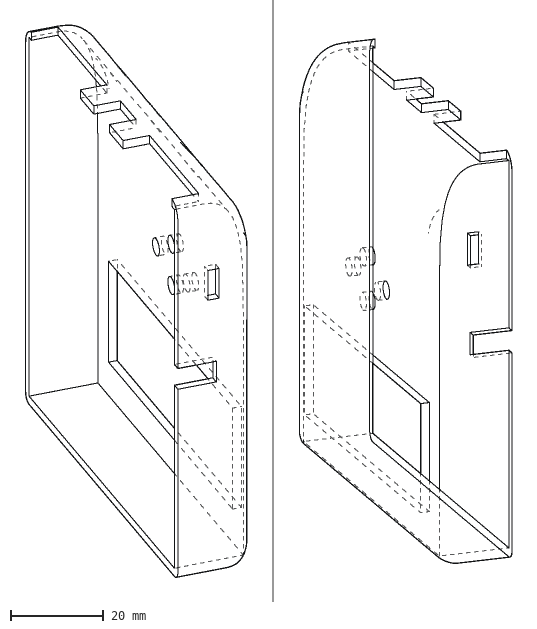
import cadquery as cq

width = 88.0
depth = 18.0
height = 92.0
wall = 2.0

overrun = 0.9

dome_drop = 30.5
dome_length = 11.2

top_side_radius = 4.1
back_edge_radius = 6.1
bottom_corner_radius = 2.0

window_width = 71.7
window_height = 24.75
window_bottom = 10.2

hole_diameter = 4.0
hole_centre_x = 44.4
hole_centre_z = 52.3
hole_offset_x = 8.8
hole_offset_z = 5.1

notch_inset = 3.4
notch_depth = 6.2
tab_width = 7.8
tab_gap = 9.1

side_slot_bottom = 46.9
side_slot_height = 5.1
side_slot_depth = 8.9
side_hole_front = 7.0
side_hole_length = 2.6
side_hole_bottom = 67.3
side_hole_height = 7.3


def block(x_range, y_range, z_range):
    """Axis-aligned box given by its limits along each axis."""
    size = [end - start for start, end in (x_range, y_range, z_range)]
    corner = (x_range[0], y_range[0], z_range[0])
    return cq.Workplane("XY").box(*size, centered=False).translate(corner)


def domed_block(inset, x_start, x_end):
    """Side profile moved inward by inset on the back, top and bottom, extruded along X."""
    back = depth - inset
    top = height - inset
    dome_z = height - dome_drop
    dome_front = depth - dome_length
    control_points = [
        (back, dome_z),
        (back, (dome_z + top) / 2),
        (back, top),
        (dome_front, top),
    ]
    return (
        cq.Workplane("YZ", origin=(x_start, 0, 0))
        .moveTo(0, inset)
        .lineTo(back, inset)
        .lineTo(back, dome_z)
        .bezier(control_points)
        .lineTo(0, top)
        .close()
        .extrude(x_end - x_start)
    )


def outer_body():
    """Domed block rounded along its top sides, cut to a box rounded along its back."""
    domed = domed_block(0, 0, width)
    domed = domed.faces("<X or >X").edges("not(<Y or <Z)").fillet(top_side_radius)
    rounded = block((0, width), (0, depth), (0, 2 * height))
    rounded = rounded.faces(">Y").edges("not >Z").fillet(back_edge_radius)
    for x in (0, width):
        near_corner = cq.selectors.BoxSelector(
            (x - back_edge_radius, -overrun, -overrun),
            (x + back_edge_radius, depth, back_edge_radius),
        )
        corner_edges = rounded.edges(near_corner).edges("not(<Y or |X or |Z)")
        rounded = corner_edges.fillet(bottom_corner_radius)
    return domed.intersect(rounded)


def top_notch():
    """Material removed from the top wall, through its full thickness but leaving the tabs."""
    x_range = (notch_inset, width - notch_inset)
    z_range = (height - 2 * wall, height + overrun)
    notch = block(x_range, (0, notch_depth), z_range)
    tab_shift = (tab_gap + tab_width) / 2
    for centre in (width / 2 - tab_shift, width / 2 + tab_shift):
        tab_range = (centre - tab_width / 2, centre + tab_width / 2)
        notch = notch.cut(block(tab_range, (0, notch_depth), z_range))
    return notch


def window():
    """Display opening through the back plate."""
    left = (width - window_width) / 2
    return block(
        (left, left + window_width),
        (depth - 2 * wall, depth + overrun),
        (window_bottom, window_bottom + window_height),
    )


def sound_holes():
    """Four round holes through the back plate."""
    offsets = [(hole_offset_x, 0), (-hole_offset_x, 0), (0, hole_offset_z), (0, -hole_offset_z)]
    return (
        cq.Workplane("XZ", origin=(hole_centre_x, 0, hole_centre_z))
        .pushPoints(offsets)
        .circle(hole_diameter / 2)
        .extrude(-(depth + overrun))
    )


def side_openings():
    """Slot open to the front edge and a closed hole above it."""
    x_range = (width - 2 * wall, width + overrun)
    slot = block(x_range, (0, side_slot_depth), (side_slot_bottom, side_slot_bottom + side_slot_height))
    hole = block(
        x_range,
        (side_hole_front, side_hole_front + side_hole_length),
        (side_hole_bottom, side_hole_bottom + side_hole_height),
    )
    return slot.union(hole)


result = (
    outer_body()
    .cut(domed_block(wall, wall, width - wall))
    .cut(top_notch())
    .cut(window())
    .cut(sound_holes())
    .cut(side_openings())
)